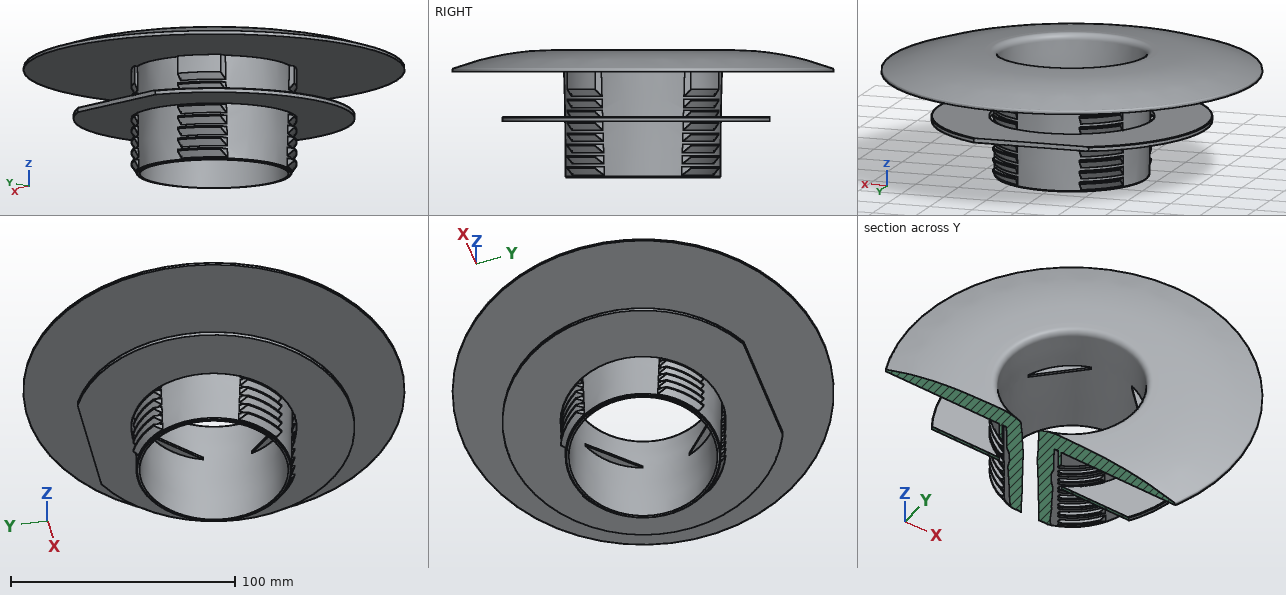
import cadquery as cq
import math


flange_radius = 85.0
flange_height = 9.9
rim_height = 1.7
rim_fillet = 0.8
rim_radius = flange_radius - rim_fillet
land_radius = 38.8
mouth_fillet = 3.0

overall_height = 57.0
sleeve_bottom = flange_height - overall_height
sleeve_top_radius = 35.4
sleeve_end_radius = 34.7
end_chamfer = 0.5

waist_z = -10.7
waist_radius = 33.0
bore_end_radius = 33.2

web_thickness = 1.2
web_flat_distance = 29.8

tooth_count = 8
first_tooth_bottom = -10.9
last_tooth_bottom = -46.0
tooth_pitch = (first_tooth_bottom - last_tooth_bottom) / (tooth_count - 1)
tooth_ramp = 3.0
tooth_height = 3.7
tooth_tip_radius = 36.9
bank_inner_x = 15.0
bank_outer_x = 30.1

plate_radius = 62.7
plate_flat_y = 56.6
plate_top = -20.0
plate_thickness = 2.0
plate_chamfer = 0.3


def sleeve_radius(z):
    """Outer radius of the drafted sleeve at height z."""
    return sleeve_top_radius + (sleeve_end_radius - sleeve_top_radius) * z / sleeve_bottom


def dome_point(radius):
    """Point on the dome's arc, which is level at the edge of the land."""
    run = rim_radius - land_radius
    drop = flange_height - rim_height
    arc_radius = (run**2 + drop**2) / (2 * drop)
    reach = radius - land_radius
    return radius, flange_height - arc_radius + math.sqrt(arc_radius**2 - reach**2)


def revolve(profile):
    """Turn a closed radius-height profile about the Z axis."""
    return profile.close().revolve(360, (0, 0, 0), (0, 1, 0))


def make_flange_and_sleeve():
    rim_fillet_z = rim_height - rim_fillet
    rim_fillet_leg = rim_fillet * math.sqrt(0.5)
    rim_fillet_middle = (rim_radius + rim_fillet_leg, rim_fillet_z + rim_fillet_leg)
    return revolve(
        cq.Workplane("XZ")
        .moveTo(0, flange_height)
        .lineTo(land_radius, flange_height)
        .threePointArc(dome_point((land_radius + rim_radius) / 2), (rim_radius, rim_height))
        .threePointArc(rim_fillet_middle, (flange_radius, rim_fillet_z))
        .lineTo(flange_radius, 0)
        .lineTo(sleeve_top_radius, 0)
        .lineTo(sleeve_end_radius, sleeve_bottom + end_chamfer)
        .lineTo(sleeve_end_radius - end_chamfer, sleeve_bottom)
        .lineTo(0, sleeve_bottom)
    )


def make_bore():
    """Cutter for the bore, with its rounded mouth."""
    mouth_radius = bore_end_radius + mouth_fillet
    mouth_z = flange_height - mouth_fillet
    fillet_leg = mouth_fillet * math.sqrt(0.5)
    return revolve(
        cq.Workplane("XZ")
        .moveTo(0, flange_height)
        .lineTo(mouth_radius, flange_height)
        .threePointArc((mouth_radius - fillet_leg, mouth_z + fillet_leg), (bore_end_radius, mouth_z))
        .lineTo(waist_radius, waist_z)
        .lineTo(bore_end_radius, sleeve_bottom)
        .lineTo(0, sleeve_bottom)
    )


def make_webs():
    """Thin disc with a square opening; only its four segments lie inside the bore.

    Its edge is buried in the sleeve wall.
    """
    opening_side = 2 * web_flat_distance
    disc_radius = (waist_radius + sleeve_end_radius) / 2
    return (
        cq.Workplane("XY", origin=(0, 0, waist_z - web_thickness))
        .circle(disc_radius)
        .extrude(web_thickness)
        .cut(
            cq.Workplane("XY", origin=(0, 0, waist_z - web_thickness))
            .transformed(rotate=(0, 0, 45))
            .rect(opening_side, opening_side)
            .extrude(web_thickness)
        )
    )


def make_tooth_ring(bottom, top):
    """Ring with a ramp that widens upward to the tip, rooted inside the sleeve wall."""
    root_radius = (bore_end_radius + sleeve_end_radius) / 2
    return revolve(
        cq.Workplane("XZ")
        .moveTo(root_radius, bottom)
        .lineTo(sleeve_radius(bottom), bottom)
        .lineTo(tooth_tip_radius, bottom + tooth_ramp)
        .lineTo(tooth_tip_radius, top)
        .lineTo(root_radius, top)
    )


def make_teeth():
    """Rings of teeth trimmed to four banks with sides parallel to Y."""
    bank_width_y = 2 * tooth_tip_radius
    bank_centre_x = (bank_inner_x + bank_outer_x) / 2
    banks = (
        cq.Workplane("XY", origin=(0, 0, sleeve_bottom))
        .pushPoints([(-bank_centre_x, 0), (bank_centre_x, 0)])
        .rect(bank_outer_x - bank_inner_x, bank_width_y)
        .extrude(-sleeve_bottom)
    )
    teeth = []
    for index in range(tooth_count):
        bottom = first_tooth_bottom - index * tooth_pitch
        top = 0 if index == 0 else bottom + tooth_height
        teeth.append(make_tooth_ring(bottom, top).intersect(banks))
    return teeth


def make_fitting():
    fitting = make_flange_and_sleeve().cut(make_bore()).union(make_webs())
    for tooth in make_teeth():
        fitting = fitting.union(tooth)
    return fitting


def make_plate():
    """Round plate with one flat on its +Y side, clearing the tooth tips."""
    plate = (
        cq.Workplane("XY", origin=(0, 0, plate_top - plate_thickness))
        .circle(plate_radius)
        .extrude(plate_thickness)
        .faces(">Z")
        .chamfer(plate_chamfer)
    )
    opening = (
        cq.Workplane("XY", origin=(0, 0, plate_top - plate_thickness))
        .circle(tooth_tip_radius)
        .extrude(plate_thickness)
    )
    beyond_flat = (
        cq.Workplane("XY", origin=(0, plate_flat_y, plate_top - plate_thickness))
        .rect(2 * plate_radius, plate_radius, centered=(True, False))
        .extrude(plate_thickness)
    )
    return plate.cut(opening).cut(beyond_flat)


fitting = make_fitting()
plate = make_plate()

result = cq.Compound.makeCompound([fitting.val(), plate.val()])